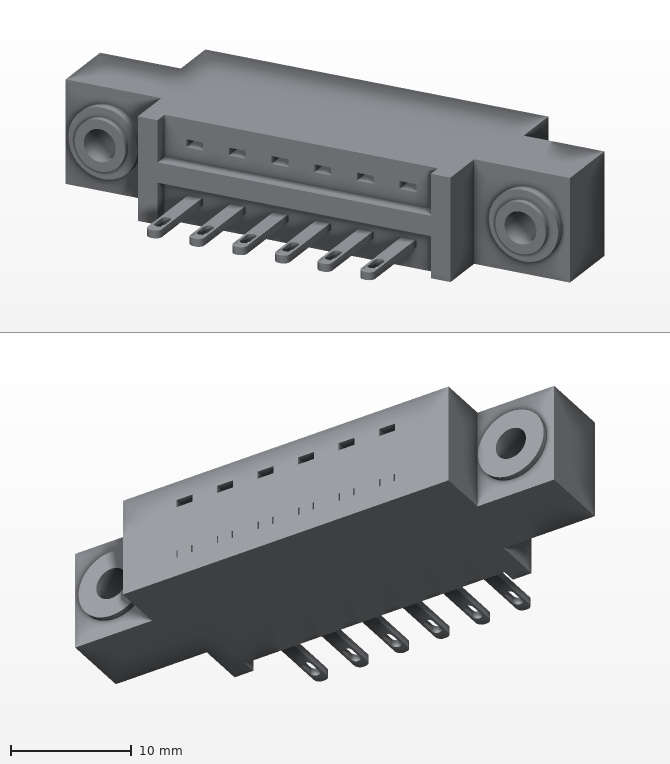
import cadquery as cq

housing_length = 46.8
housing_height = 9.4
housing_depth = 15.25
rear_body_length = 31.8
front_body_length = 29.0
ear_front_y = 4.35
ear_rear_y = 10.7

recess_length = 25.35
recess_depth = 1.3
rib_thickness = 1.82

contact_count = 6
row_length = 19.8
contact_pitch = row_length / (contact_count - 1)
row_offset_z = 2.55
slot_width = 1.55
slot_height = 0.7

contact_width = 1.3
contact_thickness = slot_height
contact_projection = 6.6
tip_radius = 0.55
eyelet_width = 0.85
eyelet_length = 2.1
eyelet_center_y = -4.6

bushing_edge_distance = 3.9
bushing_center_x = housing_length / 2 - bushing_edge_distance
bushing_bore_diameter = 2.95
sleeve_diameter = 4.7
flange_diameter = 6.4
flange_rear_y = 11.28
flange_front_y = 3.5
sleeve_front_y = 2.95

contact_xs = [-row_length / 2 + i * contact_pitch for i in range(contact_count)]
bushing_xs = [-bushing_center_x, bushing_center_x]


def block(length, height, y_start, y_end, x=0, z=0):
    """Box centred on (x, z) that spans y_start to y_end."""
    depth = y_end - y_start
    return cq.Workplane("XY").box(length, depth, height).translate((x, y_start + depth / 2, z))


def cylinder(diameter, y_start, y_end, x):
    """Cylinder along Y at mid height that spans y_start to y_end."""
    base = cq.Workplane("XZ", origin=(x, y_start, 0))
    return base.circle(diameter / 2).extrude(y_start - y_end)


def make_housing():
    front_body = block(front_body_length, housing_height, 0, ear_rear_y)
    ears = block(housing_length, housing_height, ear_front_y, ear_rear_y)
    rear_body = block(rear_body_length, housing_height, ear_rear_y, housing_depth)
    body = front_body.union(ears).union(rear_body)

    recess_height = (housing_height - rib_thickness) / 2
    recess_center_z = (housing_height + rib_thickness) / 4
    for side in (-1, 1):
        body = body.cut(block(recess_length, recess_height, 0, recess_depth, z=side * recess_center_z))
        for x in contact_xs:
            slot = block(slot_width, slot_height, 0, housing_depth, x, side * row_offset_z)
            body = body.cut(slot)

    for x in bushing_xs:
        body = body.cut(cylinder(sleeve_diameter, ear_front_y, ear_rear_y, x))
    return body


def make_contact(x):
    """Flat blade with a rounded tip and an oblong wire eyelet near it."""
    blade = block(contact_width, contact_thickness, -contact_projection, housing_depth, x, -row_offset_z)
    blade = blade.edges("|Z and <Y").fillet(tip_radius)
    eyelet = (
        cq.Workplane("XY", origin=(x, eyelet_center_y, -row_offset_z))
        .slot2D(eyelet_length, eyelet_width, 90)
        .extrude(contact_thickness, both=True)
    )
    return blade.cut(eyelet)


def make_bushing(x):
    """Bored sleeve with a flange against each face of the ear."""
    sleeve = cylinder(sleeve_diameter, sleeve_front_y, flange_rear_y, x)
    front_flange = cylinder(flange_diameter, flange_front_y, ear_front_y, x)
    rear_flange = cylinder(flange_diameter, ear_rear_y, flange_rear_y, x)
    bore = cylinder(bushing_bore_diameter, sleeve_front_y, flange_rear_y, x)
    return sleeve.union(front_flange).union(rear_flange).cut(bore)


housing = make_housing()
contacts = [make_contact(x).val() for x in contact_xs]
bushings = [make_bushing(x).val() for x in bushing_xs]

result = cq.Compound.makeCompound([housing.val(), *contacts, *bushings])